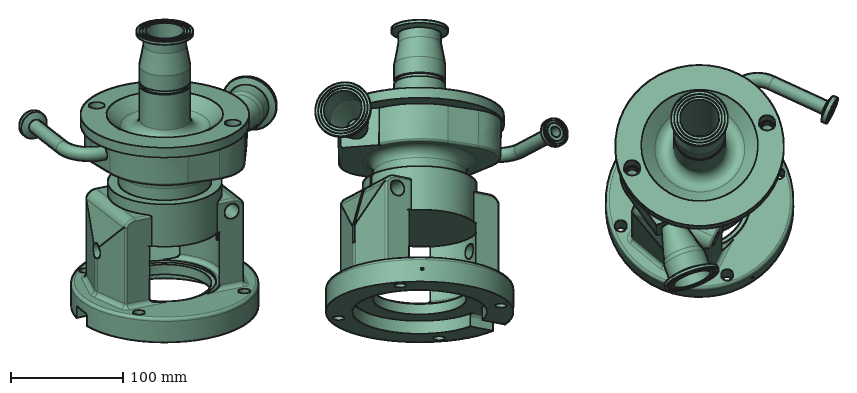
import cadquery as cq
import math

pick_slack = 0.3
overlap = 2.7

base_radius = 83.7
base_height = 23.7
base_edge_fillet = 3.0
base_bore_radius = 41.5
bore_step_radius = 45.9
bore_step_depth = 2.0
underside_radius = 60.0
underside_depth = 12.0
foot_hole_radius = 5.3
foot_hole_circle = 74.5
key_slot_width = 20.3
key_slot_height = underside_depth
key_slot_fillet = 2.5
pin_hole_radius = 1.0
pin_hole_depth = 8.0
pin_hole_y = 41.9

leg_half_width = 39.0
leg_corner_y = 59.2
leg_ridge_y = 69.0
ridge_half_width = 2.7
leg_top = 108.8
slope_start = 69.5
slope_end = 103.5
leg_bore_radius = 52.3
leg_inner_y = 26.7
leg_side_fillet = 2.0
leg_top_fillet = 10.7
leg_root_fillet = 4.3
collar_radius = 51.0
collar_bottom = 79.0
collar_top = 120.0
window_radius = 7.0
window_height = 66.5
clamp_slit_width = 3.0
clamp_slit_bottom = 53.3
clamp_bolt_radius = 7.2
clamp_bolt_y = 47.2
clamp_bolt_height = 97.0

neck_radius = 41.5
neck_fillet = 9.9
casing_bottom = 141.3
casing_top = 176.0
casing_radius = 59.5
casing_draft = 1.3
casing_edge_fillet = 2.0
lobe_distance = 38.0
lobe_radius = 35.7
boss_face_distance = 54.7
boss_outer_offset = 60.0
boss_inner_offset = 24.0

cover_radius = 75.2
cover_top = 185.5
dish_radius = 52.0
dish_cone_radius = 40.0
dish_cone_depth = 10.7
dish_centre_depth = 5.0
bolt_circle = 63.7
bolt_hole_radius = 7.2
bolt_hole_depth = 16.0
bolt_tip_radius = 5.9
bolt_tip_depth = 24.0
bolt_cone_height = 3.0

part_height = 266.5
pipe_radius = 23.0
pipe_groove_radius = 20.8
pipe_groove_bottom = 214.3
pipe_groove_top = 217.8
pipe_cone_bottom = 233.0
pipe_cone_top = 253.0
pipe_end_radius = 19.2
pipe_bore_radius = 17.3

ferrule_rim_radius = 25.3
ferrule_rim = 3.0
ferrule_hub = 2.0
ferrule_groove = (20.0, 22.7)
small_rim_radius = 12.8
small_rim = 4.5
small_hub = 2.5
small_groove = (8.5, 11.0)
groove_depth = 1.0

nozzle_height = 158.5
nozzle_offset = 44.8
nozzle_face_distance = 107.7
nozzle_cone_start = 87.7
nozzle_cone_radius = 10.0
nozzle_bore_cone_start = 83.2
nozzle_bore_end_radius = 8.5

drain_end_x = -88.8
drain_y = -87.7
drain_height = 159.5
drain_bend_start_x = -28.5
drain_bend_radius = 27.5
drain_tube_radius = 6.5
drain_bore_radius = 4.8


def cylinder(radius, bottom, top):
    return cq.Workplane("XY").workplane(offset=bottom).circle(radius).extrude(top - bottom)


def revolved(points):
    """Turn a (radius, height) outline about the local Z axis."""
    return cq.Workplane("XZ").polyline(points).close().revolve(360, (0, 0), (0, 1))


def ferrule(face, rim_radius, rim, hub, tube_radius, groove):
    """Clamp ferrule whose face lies at the given height on the local Z axis."""
    body = revolved([
        (0, face),
        (rim_radius, face),
        (rim_radius, face - rim),
        (tube_radius, face - rim - hub),
        (0, face - rim - hub),
    ])
    inner, outer = groove
    ring = cylinder(outer, face - groove_depth, face).cut(cylinder(inner, face - groove_depth, face))
    return body.cut(ring)


def base_ring():
    """Ring with a stepped bore that opens into a wider recess underneath."""
    base = cylinder(base_radius, 0, base_height).faces(">Z").edges().fillet(base_edge_fillet)
    base = base.cut(cylinder(base_bore_radius, 0, base_height))
    base = base.cut(cylinder(underside_radius, 0, underside_depth))
    return base.cut(cylinder(bore_step_radius, base_height - bore_step_depth, base_height))


def leg():
    """Prow-shaped leg on the +Y side, its ridge cut back by a sloping plane at the top."""
    prow = (
        cq.Workplane("XY")
        .workplane(offset=base_height)
        .polyline([
            (-leg_half_width, leg_inner_y),
            (leg_half_width, leg_inner_y),
            (leg_half_width, leg_corner_y),
            (ridge_half_width, leg_ridge_y),
            (-ridge_half_width, leg_ridge_y),
            (-leg_half_width, leg_corner_y),
        ])
        .close()
        .extrude(leg_top - base_height)
    )
    corner_box = cq.selectors.BoxSelector(
        (-base_radius, leg_corner_y - pick_slack, 0),
        (base_radius, leg_corner_y + pick_slack, leg_top),
    )
    prow = prow.edges("|Z").edges(corner_box).fillet(leg_side_fillet)
    slope = (leg_corner_y - leg_ridge_y) / (slope_end - slope_start)
    top_y = leg_ridge_y + slope * (leg_top - slope_start)
    profile = (
        cq.Workplane("YZ")
        .polyline([
            (0, base_height),
            (leg_ridge_y, base_height),
            (leg_ridge_y, slope_start),
            (top_y, leg_top),
            (0, leg_top),
        ])
        .close()
        .extrude(leg_half_width, both=True)
    )
    profile = profile.faces(">Z").edges(">Y").fillet(leg_top_fillet)
    profile = profile.faces(">Z").edges("<X or >X").fillet(leg_side_fillet)
    body = prow.intersect(profile)
    return body.cut(cylinder(leg_bore_radius, base_height, collar_bottom))


def stand():
    """Base ring, two opposite legs with filleted roots, and the collar between them."""
    rear_leg = leg()
    body = base_ring().union(rear_leg).union(rear_leg.mirror("XZ"))
    reach_x = leg_half_width + pick_slack
    reach_y = leg_ridge_y + pick_slack
    root = cq.selectors.BoxSelector(
        (-reach_x, -reach_y, base_height - pick_slack),
        (reach_x, reach_y, base_height + pick_slack),
        boundingbox=True,
    )
    body = body.edges(root).fillet(leg_root_fillet)
    return body.union(cylinder(collar_radius, collar_bottom, collar_top))


def stand_cuts():
    """Holes and slots of the stand; the +Y leg is slit and cross-drilled for a clamp bolt."""
    foot_holes = (
        cq.Workplane("XY")
        .polarArray(foot_hole_circle, 45, 360, 4)
        .circle(foot_hole_radius)
        .extrude(base_height)
    )
    key_slot = (
        cq.Workplane("XY")
        .box(key_slot_width, base_radius, key_slot_height, centered=(True, False, False))
        .translate((0, -base_radius, 0))
        .edges("|Y and >Z")
        .fillet(key_slot_fillet)
    )
    pin_x = -math.sqrt(base_radius**2 - pin_hole_y**2)
    pin_hole = (
        cq.Workplane("YZ")
        .workplane(offset=pin_x - overlap)
        .center(pin_hole_y, key_slot_height)
        .circle(pin_hole_radius)
        .extrude(pin_hole_depth + overlap)
    )
    window = cq.Workplane("XZ").center(0, window_height).circle(window_radius).extrude(base_radius)
    slit = cq.Workplane("XY").box(
        clamp_slit_width,
        base_radius - neck_radius,
        collar_top - clamp_slit_bottom,
        centered=(True, False, False),
    ).translate((0, neck_radius, clamp_slit_bottom))
    clamp_bolt = (
        cq.Workplane("YZ")
        .center(clamp_bolt_y, clamp_bolt_height)
        .circle(clamp_bolt_radius)
        .extrude(base_radius, both=True)
    )
    return foot_holes.union(key_slot).union(pin_hole).union(window).union(slit).union(clamp_bolt)


def polar(radius, angle, centre=(0, 0)):
    """Point at a radius and an angle in radians about a centre."""
    return (centre[0] + radius * math.cos(angle), centre[1] + radius * math.sin(angle))


def lobed_casing():
    """Round casing with two bolt lobes on the diagonal, joined to it by tangent flats."""
    flat_angle = math.acos((casing_radius - lobe_radius) / lobe_distance)
    first_flat = math.pi / 4 - flat_angle
    outline = cq.Workplane("XY").workplane(offset=casing_top).moveTo(*polar(casing_radius, first_flat))
    for lobe_angle in (math.pi / 4, 5 * math.pi / 4):
        centre = polar(lobe_distance, lobe_angle)
        flat_start = lobe_angle - flat_angle
        flat_end = lobe_angle + flat_angle
        outline = (
            outline.lineTo(*polar(lobe_radius, flat_start, centre))
            .threePointArc(
                polar(lobe_radius, lobe_angle, centre), polar(lobe_radius, flat_end, centre)
            )
            .lineTo(*polar(casing_radius, flat_end))
            .threePointArc(
                polar(casing_radius, lobe_angle + math.pi / 2),
                polar(casing_radius, flat_start + math.pi),
            )
        )
    return outline.close().extrude(casing_bottom - casing_top, taper=casing_draft)


def outlet_boss():
    """Block that carries the nozzle, blended by a tangent wall into the +X+Y lobe."""
    def across(offset):
        """Point on the boss face at an offset from the diagonal through the Z axis."""
        return (
            (offset - boss_face_distance) / math.sqrt(2),
            (offset + boss_face_distance) / math.sqrt(2),
        )

    outer = across(boss_outer_offset)
    lobe_centre = polar(lobe_distance, math.pi / 4)
    dx = outer[0] - lobe_centre[0]
    dy = outer[1] - lobe_centre[1]
    angle = math.atan2(dy, dx) - math.acos(lobe_radius / math.hypot(dx, dy))
    tangent = polar(lobe_radius, angle, lobe_centre)
    block = (
        cq.Workplane("XY")
        .workplane(offset=casing_top)
        .polyline([outer, tangent, (0, 0), across(boss_inner_offset)])
        .close()
        .extrude(casing_bottom - casing_top, taper=casing_draft)
    )
    return block.faces("<Z").edges(">Y").fillet(casing_edge_fillet)


def casing():
    body = lobed_casing().faces("<Z").edges().fillet(casing_edge_fillet).union(outlet_boss())
    neck = (
        cq.Workplane("XZ")
        .moveTo(0, collar_top)
        .lineTo(neck_radius, collar_top)
        .lineTo(neck_radius, casing_bottom - neck_fillet)
        .radiusArc((neck_radius + neck_fillet, casing_bottom), neck_fillet)
        .lineTo(0, casing_bottom)
        .close()
        .revolve(360, (0, 0), (0, 1))
    )
    return body.union(neck)


def cover():
    """Flange disc, and the dish to be sunk into it around the inlet pipe."""
    body = cylinder(cover_radius, casing_top, cover_top)
    dish = (
        cq.Workplane("XZ")
        .moveTo(0, cover_top)
        .lineTo(dish_radius, cover_top)
        .lineTo(dish_cone_radius, cover_top - dish_cone_depth)
        .tangentArcPoint((pipe_radius, cover_top - dish_centre_depth), relative=False)
        .lineTo(0, cover_top - dish_centre_depth)
        .close()
        .revolve(360, (0, 0), (0, 1))
    )
    return body, dish


def bolt_hole():
    """Stepped bolt hole with a conical end, on the local Z axis."""
    step = cover_top - bolt_hole_depth
    floor = cover_top - bolt_tip_depth
    return revolved([
        (0, cover_top),
        (bolt_hole_radius, cover_top),
        (bolt_hole_radius, step),
        (bolt_tip_radius, step),
        (bolt_tip_radius, floor),
        (0, floor - bolt_cone_height),
    ])


def inlet_pipe():
    pipe = revolved([
        (0, nozzle_height),
        (pipe_radius, nozzle_height),
        (pipe_radius, pipe_groove_bottom),
        (pipe_groove_radius, pipe_groove_bottom),
        (pipe_groove_radius, pipe_groove_top),
        (pipe_radius, pipe_groove_top),
        (pipe_radius, pipe_cone_bottom),
        (pipe_end_radius, pipe_cone_top),
        (pipe_end_radius, part_height - ferrule_rim),
        (0, part_height - ferrule_rim),
    ])
    end = ferrule(
        part_height, ferrule_rim_radius, ferrule_rim, ferrule_hub, pipe_end_radius, ferrule_groove
    )
    return pipe.union(end)


def on_nozzle_axis(shape):
    """Turn local Z to the (-X, +Y) direction and shift it to the tangential outlet axis."""
    shift = nozzle_offset / math.sqrt(2)
    return (
        shape.rotate((0, 0, 0), (1, 0, 0), -90)
        .rotate((0, 0, 0), (0, 0, 1), 45)
        .translate((shift, shift, nozzle_height))
    )


def nozzle():
    inner_end = boss_face_distance - overlap
    tube = revolved([
        (0, inner_end),
        (nozzle_cone_radius, inner_end),
        (nozzle_cone_radius, boss_face_distance),
        (pipe_end_radius, nozzle_cone_start),
        (pipe_end_radius, nozzle_face_distance - ferrule_rim),
        (0, nozzle_face_distance - ferrule_rim),
    ])
    end = ferrule(
        nozzle_face_distance,
        ferrule_rim_radius,
        ferrule_rim,
        ferrule_hub,
        pipe_end_radius,
        ferrule_groove,
    )
    return on_nozzle_axis(tube.union(end))


def nozzle_bore():
    return on_nozzle_axis(revolved([
        (0, boss_face_distance),
        (nozzle_bore_end_radius, boss_face_distance),
        (pipe_bore_radius, nozzle_bore_cone_start),
        (pipe_bore_radius, nozzle_face_distance),
        (0, nozzle_face_distance),
    ]))


def drain_sweep(radius):
    """Round bar along the drain: straight in +X, then a quarter bend towards +Y."""
    bend = drain_bend_radius
    path = (
        cq.Workplane("XY", origin=(0, 0, drain_height))
        .moveTo(drain_end_x, drain_y)
        .lineTo(drain_bend_start_x, drain_y)
        .radiusArc((drain_bend_start_x + bend, drain_y + bend), -bend)
    )
    section = cq.Workplane("YZ", origin=(drain_end_x, drain_y, drain_height)).circle(radius)
    return section.sweep(path)


def drain():
    end = (
        ferrule(0, small_rim_radius, small_rim, small_hub, drain_tube_radius, small_groove)
        .rotate((0, 0, 0), (0, 1, 0), -90)
        .translate((drain_end_x, drain_y, drain_height))
    )
    end = end.cut(drain_sweep(drain_bore_radius))
    return drain_sweep(drain_tube_radius).cut(drain_sweep(drain_bore_radius)).union(end)


cover_disc, cover_dish = cover()
result = stand().cut(stand_cuts()).union(casing()).union(cover_disc).cut(cover_dish)
for side in (1, -1):
    bolt_shift = side * bolt_circle / math.sqrt(2)
    result = result.cut(bolt_hole().translate((bolt_shift, bolt_shift, 0)))

result = result.union(inlet_pipe()).union(nozzle()).union(drain())
result = result.cut(cylinder(pipe_bore_radius, nozzle_height, part_height)).cut(nozzle_bore())